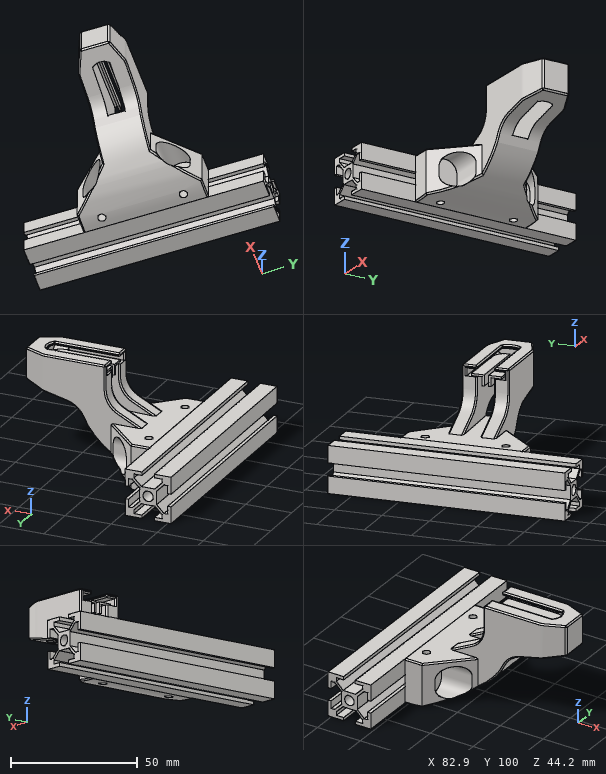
import cadquery as cq
import math

EDGE = 0.6
NEAR = 1.0
FLANK_NORMAL = 0.5
PARALLEL = 0.99

RAIL_SIZE = 20.0
RAIL_LENGTH = 100.0
RAIL_OFFSET_Y = -1.1
RAIL_BORE = 4.4
SLOT_MOUTH = 5.4
LIP = 1.5
CAVITY = 12.2
CAVITY_SIDE = 3.1
CORE = 7.4

BASE_TOP = RAIL_SIZE
BASE_HALF_WIDTH = 26.0
BASE_SHOULDER_X = 28.0
BASE_END_X = 44.0
BOLT_X = 24.3
BOLT_Y = 17.0
BOLT_DIAMETER = 3.2
ACCESS_WIDTH = 10.6
ACCESS_HEIGHT = 14.4
ACCESS_Z = 10.1

ARM_WIDTH = 20.0
ARM_START_X = 30.9
ARM_SLOPE = math.atan(0.5)
HEAD_START_X = 46.4
HEAD_END_X = 82.9
HEAD_TOP = 44.2
BACK_RADIUS = 10.0
TRIM = 1.0
BELLY_START_X = 22.0
BELLY_END = (54.5, 17.0)
THROAT = (58.5, 24.8)
THROAT_RADIUS = 11.0
TIP_BOTTOM = 30.6
TAPER_START_X = 73.5
TIP_HALF_WIDTH = 6.1
TAPER_FILLET = 5.0

CHANNEL_WIDTH = 7.2
CHANNEL_END_RADIUS = 5.4
CHANNEL_CENTRE_X = 70.6
FLOOR_START_X = 31.9
FLOOR_RISE = 0.026

POCKET_WIDTH = 16.0
POCKET_FLOOR = 39.5
POCKET_TOP = 42.6
POCKET_END_X = CHANNEL_CENTRE_X + CHANNEL_END_RADIUS
CONE_BOTTOM = 38.4

STRIP_THICKNESS = 0.9
STRIP_START_X = 47.5
STRIP_GAP = 1.8
STRIP_HALF_WIDTH = 6.4
STRIP_LEG_BOTTOM = 35.8


def block(x0, x1, y0, y1, z0, z1):
    """Box given by its limits."""
    box = cq.Workplane("XY").box(x1 - x0, y1 - y0, z1 - z0, centered=False)
    return box.translate((x0, y0, z0))


def extrude_across(profile, width):
    """Extrude an XZ profile symmetrically about Y = 0."""
    return profile.extrude(width / 2, both=True)


def edge_runs_along(direction_component):
    """True when an edge is parallel to the axis of the given unit direction component."""
    return abs(direction_component) > PARALLEL


def make_rail():
    """Square rail with a T-slot in each side and a bore along its length."""
    half = RAIL_SIZE / 2
    core_flat = CAVITY / 2 - (half - CORE / 2 - CAVITY_SIDE)
    slot_half = [
        (SLOT_MOUTH / 2, half),
        (SLOT_MOUTH / 2, half - LIP),
        (CAVITY / 2, half - LIP),
        (CAVITY / 2, half - CAVITY_SIDE),
        (core_flat, CORE / 2),
    ]
    slot_outline = slot_half + [(-x, z) for x, z in reversed(slot_half)]
    rail = extrude_across(cq.Workplane("XZ").rect(RAIL_SIZE, RAIL_SIZE).circle(RAIL_BORE / 2), RAIL_LENGTH)
    slot = extrude_across(cq.Workplane("XZ").polyline(slot_outline).close(), RAIL_LENGTH)
    for side in range(4):
        rail = rail.cut(slot.rotate((0, 0, 0), (0, 1, 0), 90 * side))
    return rail.translate((half, RAIL_OFFSET_Y, half))


def side_profile():
    """Side outline shared by the base and the arm."""
    turn = math.pi / 2 - ARM_SLOPE
    slope_end_x = HEAD_START_X - BACK_RADIUS * (1 - math.cos(turn))
    slope_end_z = BASE_TOP + (slope_end_x - ARM_START_X) * math.tan(ARM_SLOPE)
    arc_top_z = slope_end_z + BACK_RADIUS * math.sin(turn)
    arc_mid = (
        HEAD_START_X - BACK_RADIUS * (1 - math.cos(turn / 2)),
        arc_top_z - BACK_RADIUS * math.sin(turn / 2),
    )
    return (
        cq.Workplane("XZ")
        .moveTo(RAIL_SIZE - TRIM, 0)
        .lineTo(BELLY_START_X, 0)
        .tangentArcPoint(BELLY_END, relative=False)
        .lineTo(*THROAT)
        .lineTo(HEAD_END_X, TIP_BOTTOM)
        .lineTo(HEAD_END_X, HEAD_TOP)
        .lineTo(HEAD_START_X, HEAD_TOP)
        .lineTo(HEAD_START_X, arc_top_z)
        .threePointArc(arc_mid, (slope_end_x, slope_end_z))
        .lineTo(ARM_START_X, BASE_TOP)
        .lineTo(RAIL_SIZE - TRIM, BASE_TOP)
        .close()
    )


def side_body(width):
    """Side outline extruded to a width, with the throat rounded."""
    throat_edge = cq.selectors.BoxSelector(
        (THROAT[0] - NEAR, -width, THROAT[1] - NEAR), (THROAT[0] + NEAR, width, THROAT[1] + NEAR)
    )
    return extrude_across(side_profile(), width).edges("|Y").edges(throat_edge).fillet(THROAT_RADIUS)


def channel_plan(z=0.0, margin=0.0):
    """Channel outline from above at height z: straight sides and a shallow round end."""
    half = CHANNEL_WIDTH / 2 + margin
    radius = CHANNEL_END_RADIUS + margin
    arc_x = CHANNEL_CENTRE_X + math.sqrt(radius**2 - half**2)
    return (
        cq.Workplane("XY", origin=(0, 0, z))
        .moveTo(RAIL_SIZE - TRIM, -half)
        .lineTo(arc_x, -half)
        .threePointArc((CHANNEL_CENTRE_X + radius, 0), (arc_x, half))
        .lineTo(RAIL_SIZE - TRIM, half)
        .close()
    )


def make_base():
    """Base block that narrows at 45 degrees and follows the curved underside."""
    plan = [
        (RAIL_SIZE, BASE_HALF_WIDTH),
        (BASE_SHOULDER_X, BASE_HALF_WIDTH),
        (BASE_END_X, BASE_HALF_WIDTH - (BASE_END_X - BASE_SHOULDER_X)),
    ]
    outline = plan + [(x, -y) for x, y in reversed(plan)]
    base = cq.Workplane("XY").polyline(outline).close().extrude(BASE_TOP)
    base = base.intersect(side_body(2 * BASE_HALF_WIDTH))
    flanks = [face for face in base.faces("#Z").vals() if abs(face.normalAt().y) > FLANK_NORMAL]
    rims = [e for face in flanks for e in face.Edges() if not edge_runs_along(e.tangentAt(0.5).z)]
    return base.newObject(rims).chamfer(EDGE)


def make_arm():
    """Forked arm and tapered head, still without the head's pocket."""
    arm = side_body(ARM_WIDTH)
    half = ARM_WIDTH / 2
    head_plan = [
        (RAIL_SIZE - TRIM, half),
        (TAPER_START_X, half),
        (HEAD_END_X, TIP_HALF_WIDTH),
        (HEAD_END_X, -TIP_HALF_WIDTH),
        (TAPER_START_X, -half),
        (RAIL_SIZE - TRIM, -half),
    ]
    taper_edges = cq.selectors.BoxSelector(
        (TAPER_START_X - NEAR, -ARM_WIDTH, 0), (TAPER_START_X + NEAR, ARM_WIDTH, HEAD_TOP)
    )
    plan = cq.Workplane("XY").polyline(head_plan).close().extrude(HEAD_TOP)
    plan = plan.edges("|Z").edges(taper_edges).fillet(TAPER_FILLET)
    arm = arm.intersect(plan)
    arm = arm.cut(channel_plan().extrude(HEAD_TOP))
    arm = arm.newObject(outer_rims(arm) + back_rims(arm)).chamfer(EDGE)
    arm = arm.cut(make_slot_bevel(HEAD_TOP - EDGE, HEAD_TOP))
    arm = arm.cut(make_slot_bevel(POCKET_TOP + EDGE, POCKET_TOP))
    return arm.intersect(block(RAIL_SIZE, HEAD_END_X, -ARM_WIDTH, ARM_WIDTH, 0, HEAD_TOP))


def outer_rims(arm):
    """Edges of the side and end faces, without the channel and the rounded taper corners."""
    rims = []
    for edge in arm.edges().vals():
        middle = edge.positionAt(0.5)
        direction = edge.tangentAt(0.5)
        at_tip = middle.x > HEAD_END_X - NEAR / 2
        at_head_top = middle.z > HEAD_TOP - NEAR / 2
        if edge_runs_along(direction.y):
            wanted = at_tip or at_head_top
        elif edge_runs_along(direction.z):
            wanted = at_tip or middle.x < HEAD_START_X + NEAR
        else:
            wanted = True
        on_channel = abs(middle.y) < CHANNEL_WIDTH / 2 + NEAR and not edge_runs_along(direction.y)
        if wanted and not on_channel:
            rims.append(edge)
    return rims


def back_rims(arm):
    """Inner edges of the two arms along their sloped and upright back."""
    rims = []
    for edge in arm.edges().vals():
        middle = edge.positionAt(0.5)
        inside = abs(middle.y) < CHANNEL_WIDTH / 2 + NEAR
        on_back = middle.x < HEAD_START_X + NEAR / 2 and BASE_TOP - NEAR / 2 < middle.z < HEAD_TOP - NEAR / 2
        crosses = edge_runs_along(edge.tangentAt(0.5).y)
        if inside and on_back and not crosses:
            rims.append(edge)
    return rims


def make_slot_bevel(narrow_z, wide_z):
    """Bevel round the slot in the head, widening from one height to the other."""
    wires = [
        channel_plan(narrow_z).wires().val(),
        channel_plan(wide_z, EDGE).wires().val(),
    ]
    return cq.Workplane(cq.Solid.makeLoft(wires, True))


def make_channel_floor():
    """Web that closes the channel below its gently rising floor."""
    end_x = THROAT[0]
    end_z = BASE_TOP + (end_x - FLOOR_START_X) * FLOOR_RISE
    outline = [
        (RAIL_SIZE, 0),
        (end_x, 0),
        (end_x, end_z),
        (FLOOR_START_X, BASE_TOP),
        (RAIL_SIZE, BASE_TOP),
    ]
    web = cq.Workplane("XZ").polyline(outline).close()
    return extrude_across(web, CHANNEL_WIDTH).intersect(side_body(ARM_WIDTH))


def make_pocket():
    """Undercut pocket: straight run, flared mouth and conical far end."""
    half = POCKET_WIDTH / 2
    run = block(HEAD_START_X, CHANNEL_CENTRE_X, -half, half, POCKET_FLOOR, POCKET_TOP)
    mouth = (
        cq.Workplane("YZ", origin=(HEAD_START_X, 0, 0))
        .rect(POCKET_WIDTH + 2 * EDGE, 2 * (POCKET_TOP + EDGE))
        .workplane(offset=EDGE)
        .rect(POCKET_WIDTH, 2 * POCKET_TOP)
        .loft()
        .intersect(block(HEAD_START_X, HEAD_END_X, -half - EDGE, half + EDGE, POCKET_FLOOR, HEAD_TOP))
    )
    rise = POCKET_TOP - CONE_BOTTOM
    cone_base = cq.Vector(CHANNEL_CENTRE_X, 0, CONE_BOTTOM)
    cone = cq.Workplane(cq.Solid.makeCone(CHANNEL_END_RADIUS, CHANNEL_END_RADIUS + rise, rise, cone_base))
    cone = cone.intersect(block(CHANNEL_CENTRE_X, POCKET_END_X, -half, half, CONE_BOTTOM, POCKET_TOP))
    return run.union(mouth).union(cone)


def make_bracket():
    """Base and forked arm in one piece, with vertical bolt holes and lengthwise access openings."""
    bracket = make_base().union(make_arm().cut(make_pocket()))
    bracket = bracket.union(make_channel_floor())
    for side in (1, -1):
        bolt_centre = cq.Workplane("XY").center(BOLT_X, side * BOLT_Y)
        bolt_hole = bolt_centre.circle(BOLT_DIAMETER / 2).extrude(BASE_TOP)
        access = (
            cq.Workplane("YZ", origin=(BASE_SHOULDER_X, side * BOLT_Y, ACCESS_Z))
            .slot2D(ACCESS_HEIGHT, ACCESS_WIDTH, 90)
            .extrude(BASE_END_X - BASE_SHOULDER_X)
        )
        bracket = bracket.cut(bolt_hole).cut(access)
    return bracket


def make_strip(side):
    """Angle strip on one side of the channel: flat flange plus a hanging leg."""
    inner = STRIP_GAP / 2
    top = POCKET_FLOOR + STRIP_THICKNESS
    flange = block(STRIP_START_X, CHANNEL_CENTRE_X, inner, STRIP_HALF_WIDTH, POCKET_FLOOR, top)
    flange = flange.union(
        cq.Workplane("XY", origin=(CHANNEL_CENTRE_X, 0, POCKET_FLOOR))
        .circle(STRIP_HALF_WIDTH)
        .extrude(STRIP_THICKNESS)
        .intersect(block(CHANNEL_CENTRE_X, POCKET_END_X, inner, STRIP_HALF_WIDTH, POCKET_FLOOR, top))
    )
    leg = block(STRIP_START_X, POCKET_END_X, inner, inner + STRIP_THICKNESS, STRIP_LEG_BOTTOM, top)
    leg = leg.intersect(channel_plan().extrude(HEAD_TOP))
    strip = flange.union(leg)
    return strip if side > 0 else strip.mirror("XZ")


rail = make_rail()
bracket = make_bracket()
strips = [make_strip(side) for side in (1, -1)]

result = cq.Compound.makeCompound([rail.val(), bracket.val(), *[s.val() for s in strips]])